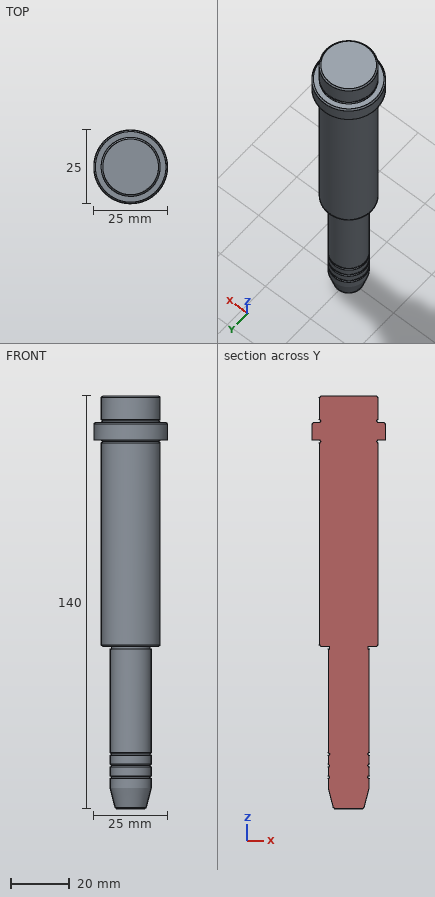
import cadquery as cq

total_height = 140.0
body_bottom = 55.0
flange_bottom = 125.0
flange_thickness = 6.0
flange_top = flange_bottom + flange_thickness

body_radius = 20.0 / 2
flange_radius = 25.0 / 2
pin_radius = 14.0 / 2
tip_radius = 5.2

edge_chamfer = 0.5
tip_chamfer = 0.4
taper_height = 7.0

vee_depth = 0.5
vee_width = 1.0
pin_relief_depth = 0.4
pin_relief_width = 0.8

ring_count = 3
ring_pitch = 3.9
first_ring_bottom = 10.2


def cylinder(radius, bottom, top):
    """Solid cylinder on the Z axis."""
    return cq.Workplane("XY").workplane(offset=bottom).circle(radius).extrude(top - bottom)


def groove(radius, depth, bottom, width):
    """Square-section ring cutter that leaves a core of radius minus depth."""
    top = bottom + width
    return cylinder(radius, bottom, top).cut(cylinder(radius - depth, bottom, top))


def vee_groove(radius, depth, bottom, width):
    """Triangular-section ring cutter with its point midway up the groove."""
    profile = [(radius, bottom), (radius - depth, bottom + width / 2), (radius, bottom + width)]
    return cq.Workplane("XZ").polyline(profile).close().revolve(360, (0, 0, 0), (0, 1, 0))


tip = cq.Workplane("XY").circle(tip_radius).workplane(offset=taper_height).circle(pin_radius).loft()
tip = tip.faces("<Z").chamfer(tip_chamfer)
pin = tip.union(cylinder(pin_radius, taper_height, body_bottom))

body = cylinder(body_radius, body_bottom, total_height).faces("<Z or >Z").chamfer(edge_chamfer)
flange = cylinder(flange_radius, flange_bottom, flange_top).faces(">Z").chamfer(edge_chamfer)

body = body.cut(vee_groove(body_radius, vee_depth, flange_top, vee_width))
body = body.cut(vee_groove(body_radius, vee_depth, flange_bottom - vee_width, vee_width))
pin = pin.cut(groove(pin_radius, pin_relief_depth, body_bottom - pin_relief_width, pin_relief_width))

for index in range(ring_count):
    ring_bottom = first_ring_bottom + index * ring_pitch
    pin = pin.cut(vee_groove(pin_radius, vee_depth, ring_bottom, vee_width))

result = pin.union(body).union(flange)